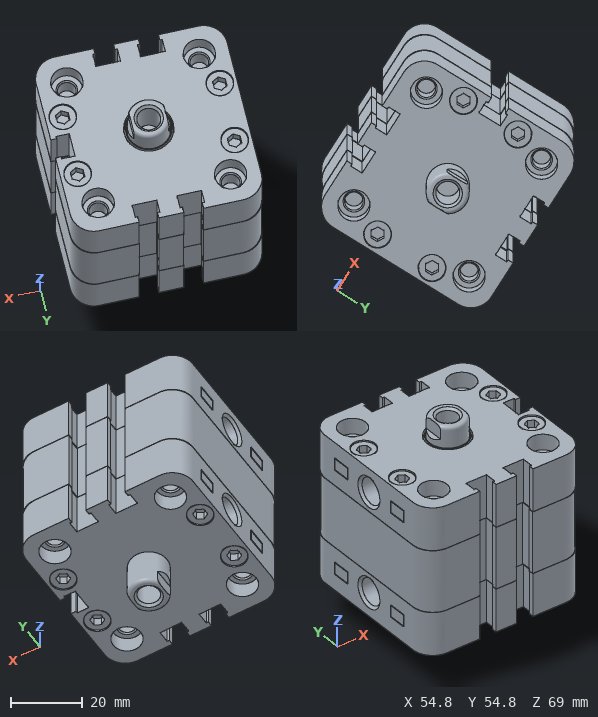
import cadquery as cq
import math

BODY_SIDE = 54.8
BODY_HEIGHT = 50.0
CAP_HEIGHT = 14.55
BARREL_HEIGHT = BODY_HEIGHT - 2 * CAP_HEIGHT
TOTAL_HEIGHT = 69.0
ROD_TOP_EXTENSION = 6.9
ROD_BOTTOM_EXTENSION = TOTAL_HEIGHT - BODY_HEIGHT - ROD_TOP_EXTENSION
BODY_TOP = BODY_HEIGHT / 2
HALF_SIDE = BODY_SIDE / 2

CAP_CORNER_RADIUS = 6.75
BARREL_CORNER_RADIUS = 7.0
BARREL_SIDE = 54.65
CAP_SLOT_OFFSET = 6.4
BARREL_SLOT_OFFSET = 6.35
SLOT_DEPTH = 5.45
SLOT_LIP = 1.7
CAP_SLOT_WIDTH = 7.05
BARREL_SLOT_WIDTH = 6.75
SLOT_MOUTH_WIDTH = 5.65

ROD_DIAMETER = 12.0
ROD_TIP_FILLET = 1.2
FLAT_SPACING = 10.0
FLAT_LENGTH = 4.3
ROD_TAP_DIAMETER = 6.6
ROD_TAP_CHAMFER = 0.75
ROD_TAP_DEPTH = 12.0

RING_INNER_DIAMETER = 12.55
RING_OUTER_DIAMETER = 13.7
RING_SEAT_DIAMETER = 14.0
RING_HEIGHT = 2.1
RING_LIP_DIAMETER = 13.05
RING_LIP_HEIGHT = 1.05

MOUNT_OFFSET = 19.0
MOUNT_BORE_DIAMETER = 9.0
MOUNT_BORE_DEPTH = 5.3
MOUNT_TAP_DIAMETER = 5.2
MOUNT_TAP_CHAMFER = 0.4
MOUNT_TAP_DEPTH = 6.0

SCREW_X = 22.5
SCREW_Y = 9.0
SCREW_BORE_DIAMETER = 7.7
SCREW_BORE_DEPTH = 4.15
SCREW_HEAD_DIAMETER = 7.5
SCREW_HEAD_RECESS = 0.4
SOCKET_ACROSS_FLATS = 3.6
SOCKET_DEPTH = 2.75
SOCKET_ACROSS_CORNERS = SOCKET_ACROSS_FLATS / math.cos(math.pi / 6)

PORT_FROM_FACE = 8.0
PORT_DIAMETER = 8.55
PORT_CHAMFER = 0.8
PORT_DEPTH = 6.35
LABEL_OFFSET = 13.1
LABEL_WIDTH = 6.0
LABEL_HEIGHT = 3.9
LABEL_FROM_FACE = 7.4
LABEL_DEPTH = 0.2


def slot_cutter(floor_width, height):
    """T-slot opening towards +Y, centred on X = 0, running along Z."""
    chamber_depth = SLOT_DEPTH - SLOT_LIP
    floor_y = HALF_SIDE - SLOT_DEPTH
    chamber = cq.Workplane("XY").box(floor_width, chamber_depth, height, centered=(True, False, False))
    mouth = cq.Workplane("XY").box(SLOT_MOUTH_WIDTH, SLOT_DEPTH, height, centered=(True, False, False))
    return chamber.union(mouth).translate((0, floor_y, 0))


def slotted_block(side, height, corner_radius, slot_offset, slot_width):
    """Square block standing on Z = 0, with two slots on each Y side and one on the +X side."""
    block = cq.Workplane("XY").box(side, side, height, centered=(True, True, False))
    block = block.edges("|Z").fillet(corner_radius)
    slot = slot_cutter(slot_width, height)
    for x in (-slot_offset, slot_offset):
        side_slot = slot.translate((x, 0, 0))
        block = block.cut(side_slot).cut(side_slot.mirror("XZ"))
    return block.cut(slot.rotate((0, 0, 0), (0, 0, 1), -90))


def cylinder(diameter, bottom, top):
    """Cylinder about the Z axis between two heights."""
    return cq.Workplane("XY").workplane(offset=bottom).circle(diameter / 2).extrude(top - bottom)


def blind_hole(diameter, depth, chamfer):
    """Cutter for a blind hole with a chamfered mouth at Z = 0, going down."""
    radius = diameter / 2
    profile = (
        cq.Workplane("XZ")
        .moveTo(0, 0)
        .lineTo(radius + chamfer, 0)
        .lineTo(radius, -chamfer)
        .lineTo(radius, -depth)
        .lineTo(0, -depth)
        .close()
    )
    return profile.revolve(360, (0, 0, 0), (0, 1, 0))


def drill_mounting_holes(cap):
    """Cut a counterbored blind hole near each corner."""
    bore_floor = CAP_HEIGHT - MOUNT_BORE_DEPTH
    hole = cylinder(MOUNT_BORE_DIAMETER, bore_floor, CAP_HEIGHT).union(
        blind_hole(MOUNT_TAP_DIAMETER, MOUNT_TAP_DEPTH, MOUNT_TAP_CHAMFER).translate((0, 0, bore_floor))
    )
    for x in (-MOUNT_OFFSET, MOUNT_OFFSET):
        for y in (-MOUNT_OFFSET, MOUNT_OFFSET):
            cap = cap.cut(hole.translate((x, y, 0)))
    return cap


def form_screw_heads(cap):
    """Leave a socket head standing in each of the four counterbores."""
    head_top = CAP_HEIGHT - SCREW_HEAD_RECESS
    bore_floor = CAP_HEIGHT - SCREW_BORE_DEPTH
    socket = (
        cq.Workplane("XY")
        .workplane(offset=head_top - SOCKET_DEPTH)
        .polygon(6, SOCKET_ACROSS_CORNERS)
        .extrude(SOCKET_DEPTH)
        .rotate((0, 0, 0), (0, 0, 1), 30)
    )
    head = cylinder(SCREW_HEAD_DIAMETER, bore_floor, head_top).cut(socket)
    cutter = cylinder(SCREW_BORE_DIAMETER, bore_floor, CAP_HEIGHT).cut(head)
    for x in (-SCREW_X, SCREW_X):
        for y in (-SCREW_Y, SCREW_Y):
            cap = cap.cut(cutter.translate((x, y, 0)))
    return cap


def cut_port(cap):
    """Cut the blind air port into the -X face."""
    port = blind_hole(PORT_DIAMETER, PORT_DEPTH, PORT_CHAMFER).rotate((0, 0, 0), (0, 1, 0), -90)
    return cap.cut(port.translate((-HALF_SIDE, 0, CAP_HEIGHT - PORT_FROM_FACE)))


def cut_label_recesses(cap):
    """Cut a shallow rectangular recess on each side of the air port."""
    recess = cq.Workplane("XY").box(2 * LABEL_DEPTH, LABEL_WIDTH, LABEL_HEIGHT)
    for y in (-LABEL_OFFSET, LABEL_OFFSET):
        cap = cap.cut(recess.translate((-HALF_SIDE, y, CAP_HEIGHT - LABEL_FROM_FACE)))
    return cap


def make_cap():
    """End cap with its inner face on Z = 0 and its outer face upwards."""
    cap = slotted_block(BODY_SIDE, CAP_HEIGHT, CAP_CORNER_RADIUS, CAP_SLOT_OFFSET, CAP_SLOT_WIDTH)
    cap = cap.cut(cylinder(ROD_DIAMETER, 0, CAP_HEIGHT))
    cap = drill_mounting_holes(cap)
    cap = form_screw_heads(cap)
    cap = cut_port(cap)
    return cut_label_recesses(cap)


def make_upper_cap():
    """Cap above the barrel, with a seat for the wiper ring."""
    cap = make_cap().cut(cylinder(RING_SEAT_DIAMETER, CAP_HEIGHT - RING_HEIGHT, CAP_HEIGHT))
    return cap.translate((0, 0, BARREL_HEIGHT / 2))


def make_lower_cap():
    """Cap below the barrel, turned over so that its outer face points down."""
    turned_over = make_cap().rotate((0, 0, 0), (1, 0, 0), 180)
    return turned_over.translate((0, 0, -BARREL_HEIGHT / 2))


def make_barrel():
    """Middle block between the caps, slightly smaller than them."""
    barrel = slotted_block(
        BARREL_SIDE, BARREL_HEIGHT, BARREL_CORNER_RADIUS, BARREL_SLOT_OFFSET, BARREL_SLOT_WIDTH
    )
    barrel = barrel.cut(cylinder(ROD_DIAMETER, 0, BARREL_HEIGHT))
    return barrel.translate((0, 0, -BARREL_HEIGHT / 2))


def make_wiper_ring():
    """Ring flush with the upper cap, its outside tapering to a narrow lip at the top."""
    inner = RING_INNER_DIAMETER / 2
    outer = RING_OUTER_DIAMETER / 2
    profile = (
        cq.Workplane("XZ")
        .moveTo(inner, BODY_TOP - RING_HEIGHT)
        .lineTo(outer, BODY_TOP - RING_HEIGHT)
        .lineTo(outer, BODY_TOP - RING_LIP_HEIGHT)
        .lineTo(RING_LIP_DIAMETER / 2, BODY_TOP)
        .lineTo(inner, BODY_TOP)
        .close()
    )
    return profile.revolve(360, (0, 0, 0), (0, 1, 0))


def flat_cutter():
    """Cutter for the wrench flat on the +X side of a rod end at Z = 0, with a 45 degree run-out."""
    flat_x = FLAT_SPACING / 2
    outer_x = ROD_DIAMETER
    profile = (
        cq.Workplane("XZ")
        .moveTo(flat_x, 0)
        .lineTo(outer_x, 0)
        .lineTo(outer_x, -FLAT_LENGTH - (outer_x - flat_x))
        .lineTo(flat_x, -FLAT_LENGTH)
        .close()
    )
    return profile.extrude(ROD_DIAMETER, both=True)


def make_rod():
    """Through rod with a threaded hole and two wrench flats at each end."""
    top = BODY_TOP + ROD_TOP_EXTENSION
    bottom = -BODY_TOP - ROD_BOTTOM_EXTENSION
    rod = cylinder(ROD_DIAMETER, bottom, top).faces("<Z or >Z").edges().fillet(ROD_TIP_FILLET)
    flat = flat_cutter()
    end_cut = blind_hole(ROD_TAP_DIAMETER, ROD_TAP_DEPTH, ROD_TAP_CHAMFER)
    end_cut = end_cut.union(flat).union(flat.mirror("YZ"))
    rod = rod.cut(end_cut.translate((0, 0, top)))
    return rod.cut(end_cut.mirror("XY").translate((0, 0, bottom)))


upper_cap = make_upper_cap()
lower_cap = make_lower_cap()
barrel = make_barrel()
rod = make_rod()
wiper_ring = make_wiper_ring()

result = cq.Compound.makeCompound(
    [upper_cap.val(), lower_cap.val(), barrel.val(), rod.val(), wiper_ring.val()]
)